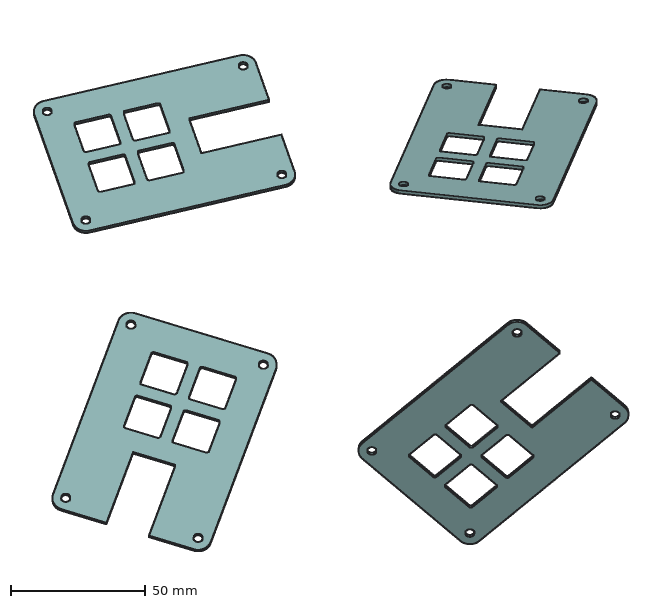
import cadquery as cq

plate_width = 62.0
plate_length = 85.9
plate_thickness = 1.5
corner_radius = 5.0

hole_diameter = 3.4
hole_spacing_x = plate_width - 2 * corner_radius
hole_spacing_y = plate_length - 2 * corner_radius

slot_width = 16.7
slot_depth = 31.0

window_size = 14.3
window_pitch = 19.1
window_corner_radius = 0.9
grid_center_x = -1.6
grid_center_y = -13.2


def make_plate():
    """Flat plate with rounded corners."""
    plate = cq.Workplane("XY").rect(plate_width, plate_length).extrude(plate_thickness)
    return plate.edges("|Z").fillet(corner_radius)


def make_mounting_holes():
    """Cutters for the four corner holes."""
    return (
        cq.Workplane("XY")
        .rect(hole_spacing_x, hole_spacing_y, forConstruction=True)
        .vertices()
        .circle(hole_diameter / 2)
        .extrude(plate_thickness)
    )


def make_slot():
    """Cutter for the slot, running inwards from the +Y edge."""
    return (
        cq.Workplane("XY")
        .center(0, (plate_length - slot_depth) / 2)
        .rect(slot_width, slot_depth)
        .extrude(plate_thickness)
    )


def make_windows():
    """Cutters for the grid of windows with softened corners."""
    return (
        cq.Workplane("XY")
        .center(grid_center_x, grid_center_y)
        .rarray(window_pitch, window_pitch, 2, 2)
        .rect(window_size, window_size)
        .extrude(plate_thickness)
        .edges("|Z")
        .fillet(window_corner_radius)
    )


result = make_plate().cut(make_mounting_holes()).cut(make_slot()).cut(make_windows())